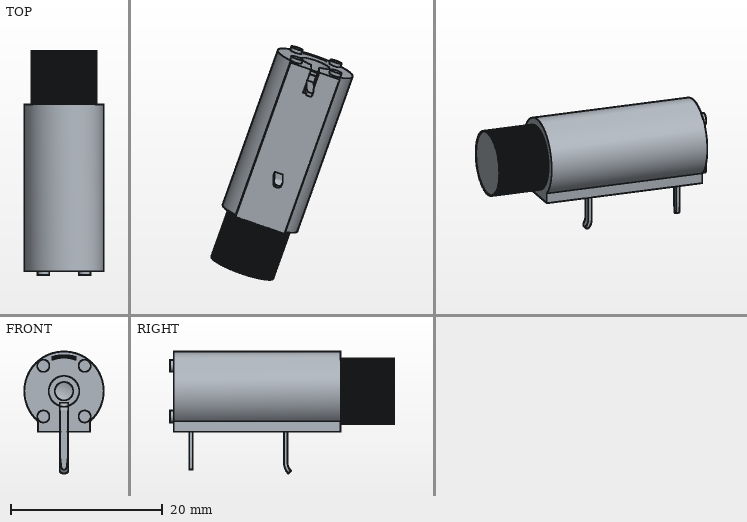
import cadquery as cq
import math


OVERALL_HEIGHT = 16.1

HOUSING_DIAMETER = 10.5
HOUSING_RADIUS = HOUSING_DIAMETER / 2
HOUSING_LENGTH = 21.99
BASE_WIDTH = 6.85
BASE_BOTTOM = -5.35

FOOT_RADIUS = 0.8
FOOT_LENGTH = 0.5
FOOT_X = 2.72
FOOT_Z = 3.35

RECESS_RADIUS = 2.0
RECESS_DEPTH = 1.35
BORE_RADIUS = 1.2
SLOT_WIDTH = 1.15
SLOT_TOP = -1.5

SHEET = 0.5

DISC_DEPTH = 3.25
DISC_THICKNESS = 0.9
DISH_RADIUS = 2.05
DISH_DEPTH = 0.6
DISC_RADIUS = DISH_RADIUS + SHEET
TAIL_DEPTH = 2.05
TAIL_TOP = -DISH_RADIUS
TAIL_WIDTH = 0.98
TAIL_SHOULDER = 0.12
TAIL_TAPER_START = -8.7
TAIL_TAPER_END = -9.95
TAIL_TIP = -10.35
TAIL_TIP_WIDTH = 0.68

PIN_DEPTH = 14.5
PIN_WIDTH = 1.15
PIN_INSERTION = 0.9
PIN_TIP = HOUSING_RADIUS - OVERALL_HEIGHT
PIN_INNER_BEND = 1.57
PIN_BEND_ANGLE = 45
PIN_CORNER_RADIUS = 0.55

ARCH_INNER_RADIUS = 4.4
ARCH_OUTER_RADIUS = 4.75
ARCH_WIDTH = 3.13
ARCH_DEPTH = 4.43
STRIP_OUTER_RADIUS = 4.6
STRIP_SETBACK = 1.0

CAP_RADIUS = 4.35
CAP_LENGTH = 6.89
NECK_RADIUS = 4.15
NECK_LENGTH = 0.18
KNURL_COUNT = 86
KNURL_DEPTH = 0.12
CREST_SHARE = 0.25
ROOT_SHARE = 0.15


def rod(radius, y_start, length, x=0, z=0):
    """Cylinder running towards +Y from y_start."""
    return cq.Workplane("XZ", origin=(x, y_start, z)).circle(radius).extrude(-length)


def block(width, y_start, y_end, z_bottom, z_top):
    """Box centred on x = 0."""
    size = (width, y_end - y_start, z_top - z_bottom)
    return cq.Workplane("XY").box(*size, centered=(True, False, False)).translate((0, y_start, z_bottom))


def arch(outer_radius, y_start, y_end):
    """Ring segment over the axis with upright ends."""
    ring = rod(outer_radius, y_start, y_end - y_start).cut(rod(ARCH_INNER_RADIUS, y_start, y_end - y_start))
    return ring.intersect(block(ARCH_WIDTH, y_start, y_end, 0, outer_radius))


def make_housing():
    body = rod(HOUSING_RADIUS, 0, HOUSING_LENGTH)
    body = body.union(block(BASE_WIDTH, 0, HOUSING_LENGTH, BASE_BOTTOM, 0))
    for x in (-FOOT_X, FOOT_X):
        for z in (-FOOT_Z, FOOT_Z):
            body = body.union(rod(FOOT_RADIUS, -FOOT_LENGTH, FOOT_LENGTH, x, z))

    body = body.cut(rod(RECESS_RADIUS, 0, RECESS_DEPTH))
    body = body.cut(rod(BORE_RADIUS, 0, DISC_DEPTH))
    body = body.cut(block(SLOT_WIDTH, 0, DISC_DEPTH, BASE_BOTTOM, SLOT_TOP))
    body = body.cut(rod(DISC_RADIUS, DISC_DEPTH, DISC_THICKNESS))
    body = body.cut(arch(ARCH_OUTER_RADIUS, 0, ARCH_DEPTH))
    return body.cut(block(PIN_WIDTH, PIN_DEPTH, PIN_DEPTH + SHEET, BASE_BOTTOM, BASE_BOTTOM + PIN_INSERTION))


def make_front_terminal():
    disc = rod(DISC_RADIUS, DISC_DEPTH, DISC_THICKNESS)
    sphere_radius = (DISH_RADIUS**2 + DISH_DEPTH**2) / (2 * DISH_DEPTH)
    sphere_y = DISC_DEPTH + DISH_DEPTH - sphere_radius
    disc = disc.cut(cq.Workplane("XY").sphere(sphere_radius).translate((0, sphere_y, 0)))

    bend_end = TAIL_TOP - SHEET
    shoulder = bend_end - TAIL_SHOULDER
    leg_back = TAIL_DEPTH + SHEET
    tail = block(SLOT_WIDTH, TAIL_DEPTH, DISC_DEPTH, bend_end, TAIL_TOP)
    tail = tail.union(block(SLOT_WIDTH, TAIL_DEPTH, leg_back, shoulder, TAIL_TOP))
    tail = tail.edges("|X and <Y and >Z").fillet(SHEET)
    tail = tail.union(block(TAIL_WIDTH, TAIL_DEPTH, leg_back, TAIL_TAPER_START, shoulder))
    tip = (
        cq.Workplane("XZ", origin=(0, TAIL_DEPTH, 0))
        .moveTo(-TAIL_WIDTH / 2, TAIL_TAPER_START)
        .lineTo(-TAIL_TIP_WIDTH / 2, TAIL_TAPER_END)
        .threePointArc((0, TAIL_TIP), (TAIL_TIP_WIDTH / 2, TAIL_TAPER_END))
        .lineTo(TAIL_WIDTH / 2, TAIL_TAPER_START)
        .close()
        .extrude(-SHEET)
    )
    return disc.union(tail).union(tip)


def make_rear_terminal():
    outer_bend = PIN_INNER_BEND + SHEET
    end_angle = math.radians(PIN_BEND_ANGLE)
    bend_y = PIN_DEPTH + outer_bend
    bend_z = PIN_TIP + outer_bend * math.sin(end_angle)
    top = BASE_BOTTOM + PIN_INSERTION

    def on_bend(radius, angle):
        return (bend_y - radius * math.cos(angle), bend_z - radius * math.sin(angle))

    pin = (
        cq.Workplane("YZ", origin=(-PIN_WIDTH / 2, 0, 0))
        .moveTo(PIN_DEPTH, top)
        .lineTo(PIN_DEPTH, bend_z)
        .threePointArc(on_bend(outer_bend, end_angle / 2), on_bend(outer_bend, end_angle))
        .lineTo(*on_bend(PIN_INNER_BEND, end_angle))
        .threePointArc(on_bend(PIN_INNER_BEND, end_angle / 2), on_bend(PIN_INNER_BEND, 0))
        .lineTo(PIN_DEPTH + SHEET, top)
        .close()
        .extrude(PIN_WIDTH)
    )
    end_direction = cq.Vector(0, math.sin(end_angle), -math.cos(end_angle))
    end_face = pin.faces(cq.selectors.DirectionMinMaxSelector(end_direction))
    return end_face.edges("not |X").fillet(PIN_CORNER_RADIUS)


def make_cap():
    root_radius = CAP_RADIUS - KNURL_DEPTH

    def at(radius, pitches):
        """Point on a circle, counted in tooth pitches from the top of the cap."""
        angle = 2 * math.pi * pitches / KNURL_COUNT
        return (-radius * math.sin(angle), radius * math.cos(angle))

    outline = []
    for tooth in range(KNURL_COUNT):
        groove = tooth + 0.5
        outline.append(at(CAP_RADIUS, tooth - CREST_SHARE / 2))
        outline.append(at(CAP_RADIUS, tooth + CREST_SHARE / 2))
        outline.append(at(root_radius, groove - ROOT_SHARE / 2))
        outline.append(at(root_radius, groove + ROOT_SHARE / 2))

    grip_start = HOUSING_LENGTH + NECK_LENGTH
    grip = cq.Workplane("XZ", origin=(0, grip_start, 0)).polyline(outline).close().extrude(-CAP_LENGTH)
    return grip.union(rod(NECK_RADIUS, HOUSING_LENGTH, NECK_LENGTH))


housing = make_housing()
front_terminal = make_front_terminal()
rear_terminal = make_rear_terminal()
strip = arch(STRIP_OUTER_RADIUS, STRIP_SETBACK, ARCH_DEPTH)
cap = make_cap()

bodies = [housing, front_terminal, rear_terminal, strip, cap]
result = cq.Compound.makeCompound([body.solids().val() for body in bodies])